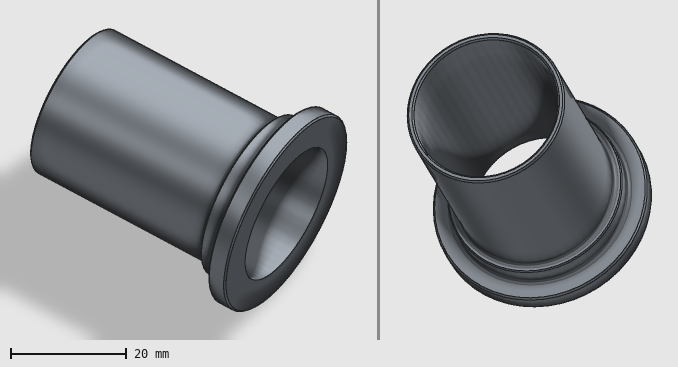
import cadquery as cq

total_length = 44.0
bore_diameter = 25.6
tube_diameter = 28.0
collar_diameter = 31.0
flange_diameter = 38.0
flange_thickness = 3.6
collar_length = 3.85
edge_chamfer = 0.3
collar_chamfer = 0.2
root_fillet = 0.8

flange_start = total_length - flange_thickness
collar_start = flange_start - collar_length


def disc(diameter, start, end):
    """Solid cylinder about the X axis between two axial positions."""
    return cq.Workplane("YZ", origin=(start, 0, 0)).circle(diameter / 2).extrude(end - start)


def circle_at(x, diameter):
    """Selector for a circular edge at one axial position and diameter."""
    radius = diameter / 2
    margin = 0.05
    return cq.selectors.BoxSelector(
        (x - margin, -radius - margin, -radius - margin),
        (x + margin, radius + margin, radius + margin),
        boundingbox=True,
    ) - cq.selectors.BoxSelector(
        (x - margin, -radius + margin, -radius + margin),
        (x + margin, radius - margin, radius - margin),
        boundingbox=True,
    )


body = disc(tube_diameter, 0, total_length)
body = body.union(disc(collar_diameter, collar_start, total_length))
body = body.union(disc(flange_diameter, flange_start, total_length))

body = body.edges(circle_at(collar_start, tube_diameter)).fillet(root_fillet)
body = body.edges(circle_at(flange_start, collar_diameter)).fillet(root_fillet)

body = body.edges(circle_at(collar_start, collar_diameter)).chamfer(collar_chamfer)
for x in (flange_start, total_length):
    body = body.edges(circle_at(x, flange_diameter)).chamfer(edge_chamfer)
body = body.edges(circle_at(0, tube_diameter)).chamfer(edge_chamfer)

body = body.cut(disc(bore_diameter, 0, total_length))
result = body.edges(circle_at(0, bore_diameter)).chamfer(edge_chamfer)